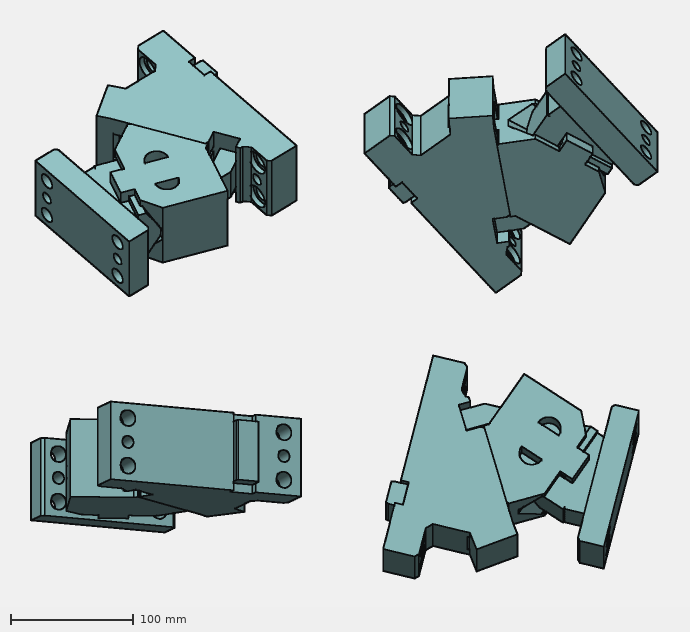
import cadquery as cq
import math


WIDTH = 65.0

RIDGE_ANGLE = -20.0
RAMP_ANGLE = 30.0
TIP_ANGLE = 35.0

BOLT_DIAMETER = 13.3
DOWEL_DIAMETER = 10.0
BOLT_Z = 19.9
COUNTERBORE_DIAMETER = 20.6
COUNTERBORE_DEPTH = 5.0

PLATE_LENGTH = 119.4
PLATE_THICKNESS = 22.5
PLATE_CHAMFER = 2.4
DRIVER_HOLE_X = 44.9
WEDGE_LEFT = -32.7
WEDGE_TOP = 40.0
RIDGE_START = -45.3
RIDGE_END = 24.5
RIDGE_BOTTOM = 27.0
RIDGE_TOP = 59.3
RIDGE_TOP_HALF = 5.0
RIDGE_HALF = 19.9
WING_HALF = 25.5
WING_BOTTOM = 40.0
WING_SHOULDER = 46.7
ROOF_SLOPE = (RIDGE_TOP - WING_SHOULDER) / (WING_HALF - RIDGE_TOP_HALF)
RIDGE_SHOULDER = WING_SHOULDER + ROOF_SLOPE * (WING_HALF - RIDGE_HALF)

HOOK_START = -22.8
HOOK_END = 1.8
HOOK_BOTTOM = 32.8
HOOK_GAP_HALF = 20.5
SLIDER_BOTTOM = 44.9
SLIDER_TOP = 115.7
SLIDER_RIGHT = 29.5
SLIDER_BEVEL_FOOT = 15.0
RAMP_FACE = 95.6
SLIDER_LEFT = 5.1
SLIDER_RAMP_END = 74.3
SLIDER_CORNER_CHAMFER = 1.5
TONGUE_HALF = 9.1
TONGUE_TOP = 110.5
POCKET_RADIUS = 10.0
POCKET_ACROSS = 73.0
POCKET_DEPTH = 18.2

HOLDER_LEFT = -105.1
HOLDER_RIGHT = 64.6
HOLDER_BACK = 174.7
FLANGE_FRONT = 145.0
FLANGE_CHAMFER = 3.0
NECK_LEFT = -74.6
NECK_RIGHT = 37.2
NECK_CHAMFER = 5.0
TIP_TOP = (-87.0, 100.4)
TIP_LENGTH = 36.0
GROOVE_HALF = 15.0
GROOVE_START = -8.0
NOTCH_START = 74.1
NOTCH_END = 97.0
NOTCH_CORNER = 98.5
FOOT_BOTTOM = 100.5
STOP_START = 79.8
STOP_RIGHT = 40.0
STOP_HALF = GROOVE_HALF
HOLDER_HOLE_INSET = 15.3
RELIEF_HALF = 18.0
RELIEF_HEIGHT = 2.2
KEY_LEFT = -64.6
KEY_LENGTH = 19.7
KEY_HALF = 25.0
KEY_BACK = 182.5
KEYWAY_DEPTH = 6.5
KEY_CHAMFER_X = 0.7
KEY_CHAMFER_Y = 2.2


def tilted(angle, along, across):
    """XY of a point given by its distances along and across a direction at the angle."""
    a = math.radians(angle)
    return (
        along * math.cos(a) - across * math.sin(a),
        along * math.sin(a) + across * math.cos(a),
    )


def ridge_point(along, across):
    return tilted(RIDGE_ANGLE, along, across)


def ramp_point(along, across):
    return tilted(RAMP_ANGLE, along, across)


def crossing(angle_1, across_1, angle_2, across_2):
    """XY where two lines cross, each at its own angle and distance from the origin."""
    gap = math.radians(angle_2 - angle_1)
    along = (across_1 * math.cos(gap) - across_2) / math.sin(gap)
    return tilted(angle_1, along, across_1)


def slab(points, half_width):
    """A plate with an XY outline, centred on Z = 0."""
    return cq.Workplane("XY").polyline(points).close().extrude(half_width, both=True)


def ridge_bar(points, start, end):
    """A bar along the ridge direction; points are (Z, across) on one side, then mirrored."""
    a = math.radians(RIDGE_ANGLE)
    plane = cq.Plane(
        origin=(*ridge_point(start, 0), 0),
        xDir=(0, 0, -1),
        normal=(math.cos(a), math.sin(a), 0),
    )
    other_side = [(-z, across) for z, across in reversed(points)]
    return cq.Workplane(plane).polyline(points + other_side).close().extrude(end - start)


def hole(diameter, x, z, front, back):
    """A cylinder along Y."""
    return cq.Workplane(cq.Solid.makeCylinder(
        diameter / 2, back - front, cq.Vector(x, front, z), cq.Vector(0, 1, 0)))


def hole_row(x, front, back):
    """Two bolt holes with a dowel hole between them."""
    row = hole(DOWEL_DIAMETER, x, 0, front, back)
    for z in (-BOLT_Z, BOLT_Z):
        row = row.union(hole(BOLT_DIAMETER, x, z, front, back))
    return row


def make_driver():
    half = PLATE_LENGTH / 2
    plate = slab([
        (-half, 0),
        (half, 0),
        (half, PLATE_THICKNESS - PLATE_CHAMFER),
        (half - PLATE_CHAMFER, PLATE_THICKNESS),
        (PLATE_CHAMFER - half, PLATE_THICKNESS),
        (-half, PLATE_THICKNESS - PLATE_CHAMFER),
    ], WIDTH / 2)
    for x in (-DRIVER_HOLE_X, DRIVER_HOLE_X):
        plate = plate.cut(hole_row(x, 0, PLATE_THICKNESS))

    wedge = slab([
        (WEDGE_LEFT, PLATE_THICKNESS),
        crossing(0, PLATE_THICKNESS, RIDGE_ANGLE, RIDGE_BOTTOM),
        crossing(0, WEDGE_TOP, RIDGE_ANGLE, RIDGE_BOTTOM),
        (WEDGE_LEFT, WEDGE_TOP),
    ], RIDGE_HALF)
    ridge = ridge_bar([
        (RIDGE_HALF, RIDGE_BOTTOM),
        (RIDGE_HALF, RIDGE_SHOULDER),
        (RIDGE_TOP_HALF, RIDGE_TOP),
    ], RIDGE_START, RIDGE_END)
    wings = ridge_bar([
        (WING_HALF, WING_BOTTOM),
        (WING_HALF, WING_SHOULDER),
        (RIDGE_TOP_HALF, RIDGE_TOP),
    ], HOOK_START, RIDGE_END)
    return plate.union(wedge).union(ridge).union(wings)


def make_slider():
    body = slab([
        ramp_point(SLIDER_LEFT, RAMP_FACE - SLIDER_CORNER_CHAMFER),
        crossing(RIDGE_ANGLE, SLIDER_BOTTOM, RAMP_ANGLE + 90, -SLIDER_LEFT),
        ridge_point(HOOK_START, SLIDER_BOTTOM),
        ridge_point(HOOK_START, HOOK_BOTTOM),
        ridge_point(HOOK_END, HOOK_BOTTOM),
        ridge_point(HOOK_END, SLIDER_BOTTOM),
        ridge_point(SLIDER_BEVEL_FOOT, SLIDER_BOTTOM),
        ridge_point(SLIDER_RIGHT, RIDGE_TOP),
        ridge_point(SLIDER_RIGHT, SLIDER_TOP),
        crossing(RIDGE_ANGLE, SLIDER_TOP, RAMP_ANGLE + 90, -SLIDER_RAMP_END),
        ramp_point(SLIDER_RAMP_END, RAMP_FACE),
        ramp_point(SLIDER_LEFT + SLIDER_CORNER_CHAMFER, RAMP_FACE),
    ], WIDTH / 2)
    tongue = slab([
        ramp_point(SLIDER_LEFT, RAMP_FACE - SLIDER_CORNER_CHAMFER),
        ramp_point(SLIDER_LEFT, TONGUE_TOP),
        ramp_point(NOTCH_START, TONGUE_TOP),
        ramp_point(NOTCH_START, RAMP_FACE - SLIDER_CORNER_CHAMFER),
    ], TONGUE_HALF)
    channel = ridge_bar([
        (HOOK_GAP_HALF, HOOK_BOTTOM),
        (HOOK_GAP_HALF, WING_BOTTOM),
        (WING_HALF, WING_BOTTOM),
        (WING_HALF, WING_SHOULDER),
        (RIDGE_TOP_HALF, RIDGE_TOP),
    ], RIDGE_START - WIDTH, SLIDER_RIGHT)
    slider = body.union(tongue).cut(channel)
    for along, side in ((HOOK_START, -1), (HOOK_END, 1)):
        slider = slider.cut(half_round_pocket(along, side))
    return slider


def half_round_pocket(along, side):
    """A blind half-round pocket in the upper face; side is where its round half points."""
    flat_start = ridge_point(along, POCKET_ACROSS - POCKET_RADIUS)
    flat_end = ridge_point(along, POCKET_ACROSS + POCKET_RADIUS)
    round_middle = ridge_point(along + side * POCKET_RADIUS, POCKET_ACROSS)
    return (
        cq.Workplane("XY", origin=(0, 0, WIDTH / 2))
        .moveTo(*flat_start)
        .threePointArc(round_middle, flat_end)
        .close()
        .extrude(-POCKET_DEPTH)
    )


def make_holder():
    t = math.radians(TIP_ANGLE)
    tip_across = TIP_TOP[1] * math.cos(t) - TIP_TOP[0] * math.sin(t)
    tip_along = TIP_TOP[0] * math.cos(t) + TIP_TOP[1] * math.sin(t)
    tip_bottom_across = tip_across - TIP_LENGTH
    neck_corner = crossing(TIP_ANGLE, tip_across, 90, -NECK_LEFT)
    notch_corner = ramp_point(NOTCH_START, NOTCH_CORNER)
    body = slab([
        (HOLDER_LEFT, HOLDER_BACK),
        (HOLDER_LEFT, FLANGE_FRONT + FLANGE_CHAMFER),
        (HOLDER_LEFT + FLANGE_CHAMFER, FLANGE_FRONT),
        (NECK_LEFT - NECK_CHAMFER, FLANGE_FRONT),
        (NECK_LEFT, FLANGE_FRONT - NECK_CHAMFER),
        neck_corner,
        TIP_TOP,
        tilted(TIP_ANGLE, tip_along, tip_bottom_across),
        crossing(TIP_ANGLE, tip_bottom_across, RAMP_ANGLE, RAMP_FACE),
        crossing(RAMP_ANGLE, RAMP_FACE, 90, -notch_corner[0]),
        notch_corner,
        ramp_point(NOTCH_START, TONGUE_TOP),
        ramp_point(NOTCH_END, TONGUE_TOP),
        ramp_point(NOTCH_END, FOOT_BOTTOM),
        crossing(RAMP_ANGLE, FOOT_BOTTOM, 90, -NECK_RIGHT),
        (NECK_RIGHT, FLANGE_FRONT - NECK_CHAMFER),
        (NECK_RIGHT + NECK_CHAMFER, FLANGE_FRONT),
        (HOLDER_RIGHT - FLANGE_CHAMFER, FLANGE_FRONT),
        (HOLDER_RIGHT, FLANGE_FRONT + FLANGE_CHAMFER),
        (HOLDER_RIGHT, HOLDER_BACK),
    ], WIDTH / 2)

    groove = slab([
        ramp_point(GROOVE_START, RAMP_FACE),
        ramp_point(GROOVE_START, TONGUE_TOP),
        ramp_point(NOTCH_START, TONGUE_TOP),
        ramp_point(NOTCH_START, RAMP_FACE),
    ], GROOVE_HALF)
    stop = slab([
        ramp_point(STOP_START, TONGUE_TOP),
        crossing(RIDGE_ANGLE, SLIDER_TOP, RAMP_ANGLE + 90, -STOP_START),
        crossing(RIDGE_ANGLE, SLIDER_TOP, 90, -STOP_RIGHT),
        crossing(RAMP_ANGLE + 90, -NOTCH_END, 90, -STOP_RIGHT),
        ramp_point(NOTCH_END, TONGUE_TOP),
    ], STOP_HALF)
    relief_top = (NECK_LEFT, neck_corner[1] + RELIEF_HEIGHT)
    relief_along = relief_top[0] * math.cos(t) + relief_top[1] * math.sin(t)
    relief = slab([
        neck_corner,
        relief_top,
        tilted(TIP_ANGLE, relief_along, tip_across),
    ], RELIEF_HALF)
    holder = body.cut(groove).union(stop).cut(relief)

    for x in (HOLDER_LEFT + HOLDER_HOLE_INSET, HOLDER_RIGHT - HOLDER_HOLE_INSET):
        holder = holder.cut(hole_row(x, FLANGE_FRONT, HOLDER_BACK))
        for z in (-BOLT_Z, BOLT_Z):
            counterbore = hole(
                COUNTERBORE_DIAMETER, x, z, FLANGE_FRONT, FLANGE_FRONT + COUNTERBORE_DEPTH)
            holder = holder.cut(counterbore)
    return add_key(holder)


def add_key(holder):
    """Cut the full-width keyway in the back face and add the shorter key that fills it."""
    key_right = KEY_LEFT + KEY_LENGTH
    key_front = HOLDER_BACK - KEYWAY_DEPTH
    keyway = slab([
        (KEY_LEFT, key_front),
        (key_right, key_front),
        (key_right, HOLDER_BACK),
        (KEY_LEFT, HOLDER_BACK),
    ], WIDTH / 2)
    key = slab([
        (KEY_LEFT, key_front),
        (key_right, key_front),
        (key_right, KEY_BACK - KEY_CHAMFER_Y),
        (key_right - KEY_CHAMFER_X, KEY_BACK),
        (KEY_LEFT + KEY_CHAMFER_X, KEY_BACK),
        (KEY_LEFT, KEY_BACK - KEY_CHAMFER_Y),
    ], KEY_HALF)
    return holder.cut(keyway).union(key)


driver = make_driver()
slider = make_slider()
holder = make_holder()

result = cq.Compound.makeCompound([body.solids().val() for body in (driver, slider, holder)])